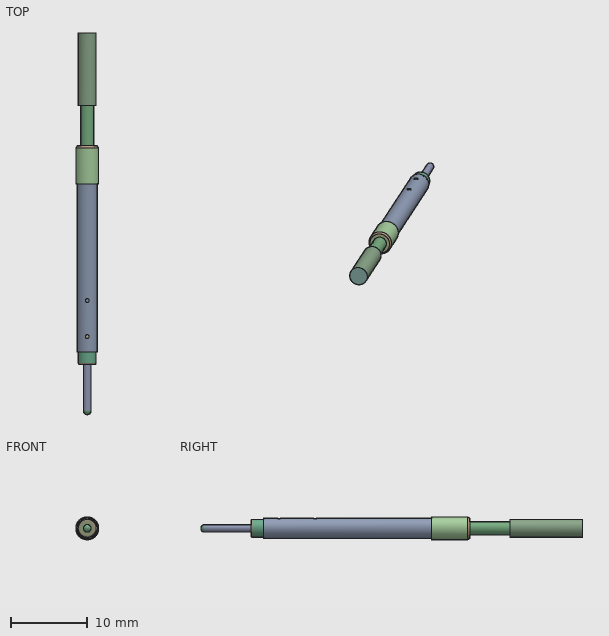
import cadquery as cq
import math


collar_dia = 3.0
body_dia = 2.65
sleeve_dia = 2.35
neck_dia = 1.75
nose_dia = 2.35
pin_dia = 1.0

overall_length = 49.8
sleeve_length = 9.5
neck_length = 5.2
collar_length = 5.0
body_length = 21.9
nose_length = 1.65

collar_chamfer_length = 0.3
collar_chamfer_depth = 0.2
nose_fillet = 0.2

dimple_dia = 0.5
dimple_depth = 0.1
dimple_setbacks = (2.0, 6.7)

collar_rear = collar_length
neck_rear = collar_rear + neck_length
sleeve_rear = neck_rear + sleeve_length
body_front = -body_length
nose_front = body_front - nose_length
tip_front = sleeve_rear - overall_length


def cylinder(diameter, start, end):
    """Solid cylinder on the Y axis between two stations."""
    sketch_plane = cq.Workplane("XZ", origin=(0, end, 0))
    return sketch_plane.circle(diameter / 2).extrude(end - start)


def make_collar():
    """Press-fit collar with a chamfered rear rim."""
    collar = cylinder(collar_dia, 0, collar_rear)
    return collar.faces(">Y").edges().chamfer(collar_chamfer_length, collar_chamfer_depth)


def make_nose():
    """Front bushing with a rounded rim."""
    return cylinder(nose_dia, nose_front, body_front).faces("<Y").edges().fillet(nose_fillet)


def make_pin():
    """Plunger pin with a hemispherical tip."""
    pin_radius = pin_dia / 2
    tip_centre = tip_front + pin_radius
    arc_reach = pin_radius * math.sqrt(0.5)
    return (
        cq.Workplane("XY")
        .moveTo(0, nose_front)
        .lineTo(pin_radius, nose_front)
        .lineTo(pin_radius, tip_centre)
        .threePointArc((arc_reach, tip_centre - arc_reach), (0, tip_front))
        .close()
        .revolve(360, (0, 0, 0), (0, 1, 0))
    )


def cut_dimples(part):
    """Round dimples sunk into the top of the body."""
    floor_height = body_dia / 2 - dimple_depth
    for setback in dimple_setbacks:
        plane = cq.Workplane("XY", origin=(0, body_front + setback, floor_height))
        part = part.cut(plane.circle(dimple_dia / 2).extrude(collar_dia))
    return part


probe = (
    cylinder(sleeve_dia, neck_rear, sleeve_rear)
    .union(cylinder(neck_dia, collar_rear, neck_rear))
    .union(make_collar())
    .union(cylinder(body_dia, body_front, 0))
    .union(make_nose())
    .union(make_pin())
)
result = cut_dimples(probe)